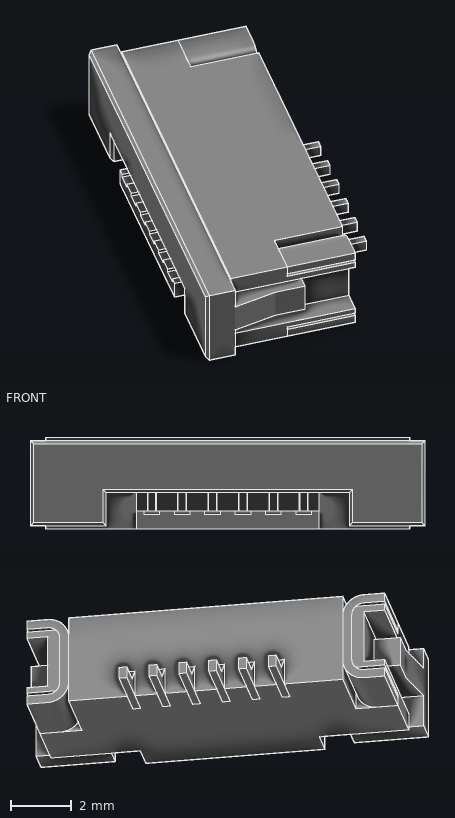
import cadquery as cq


housing_width = 12.0
housing_height = 3.02
housing_front = 1.0
housing_back = 5.3
mid_height = housing_height / 2

tongue_width = 6.0
floor_height = 0.6
cavity_height = 0.91
cavity_back = 4.29

channel_depth = 0.7
channel_bottom = 0.6
channel_height = 1.8

pin_count = 6
pin_pitch = 1.0
pin_width = 0.26
tail_end = 6.75
tail_height = 0.39
tail_bend = 5.8
groove_width = 0.52
groove_depth = 0.12
relief_width = 0.3
relief_depth = 0.26

slider_width = 13.0
slider_height = 2.81
slider_chamfer = 0.1
notch_width = 8.01
notch_top = 1.2
arm_bottom = 1.2
arm_height = 1.0
arm_bend = 2.5
arm_end = 3.51
arm_taper = 0.31

nail_start = 2.95
nail_thickness = 0.3
nail_outer_radius = 0.7
nail_reach = 1.4
nail_recess_depth = 0.4

pin_places = [(i - (pin_count - 1) / 2) * pin_pitch for i in range(pin_count)]
pin_top = floor_height + cavity_height
half_housing = housing_width / 2
half_slider = slider_width / 2


def box(x0, x1, y0, y1, z0, z1):
    """A block between two opposite corners."""
    return cq.Workplane("XY").box(x1 - x0, y1 - y0, z1 - z0, centered=False).translate((x0, y0, z0))


def centered_box(width, y0, y1, z0, z1):
    """A block centred on the YZ plane."""
    return box(-width / 2, width / 2, y0, y1, z0, z1)


def both_sides(left):
    """The left-hand shape and its mirror image on the right."""
    return [left, left.mirror("YZ")]


def make_pin(x):
    """A blade with a flat solder tail, rising at 45 degrees into the housing."""
    slope_end = tail_bend - (pin_top - tail_height)
    return (
        cq.Workplane("YZ")
        .polyline([
            (cavity_back, 0),
            (tail_end, 0),
            (tail_end, tail_height),
            (tail_bend, tail_height),
            (slope_end, pin_top),
            (cavity_back, pin_top),
        ])
        .close()
        .extrude(pin_width / 2, both=True)
        .translate((x, 0, 0))
    )


def make_left_nail():
    """A strip with flat flanges at top and bottom, joined by a web with two round bends."""
    outer_end = -half_housing
    web_inner = outer_end + nail_reach
    blank = (
        box(outer_end, web_inner, nail_start, housing_back, 0, housing_height)
        .edges("|Y and >X")
        .fillet(nail_outer_radius)
    )
    opening = (
        box(
            outer_end - nail_reach,
            web_inner - nail_thickness,
            nail_start,
            housing_back,
            nail_thickness,
            housing_height - nail_thickness,
        )
        .edges("|Y and >X")
        .fillet(nail_outer_radius - nail_thickness)
    )
    return blank.cut(opening)


def make_left_nail_recess():
    """Shallow recesses around the nail flanges and a slot through the housing for the web."""
    outer_end = -half_housing
    web_inner = outer_end + nail_reach
    web_outer = web_inner - nail_thickness
    recess_floor = housing_height - nail_recess_depth
    top = box(outer_end, web_inner, nail_start, housing_back, recess_floor, housing_height)
    bottom = box(outer_end, web_inner, nail_start, housing_back, 0, nail_recess_depth)
    slot = box(web_outer, web_inner, nail_start, housing_back, 0, housing_height)
    return top.union(bottom).union(slot).union(make_left_nail())


def make_left_channel():
    """The guide channel along the left side of the housing."""
    return box(
        -half_housing,
        -half_housing + channel_depth,
        housing_front,
        housing_back,
        channel_bottom,
        channel_bottom + channel_height,
    )


def make_housing(pins):
    """The block with its tongue, cable cavity, channels, nail recesses, grooves, reliefs and pin slots."""
    body = centered_box(housing_width, housing_front, housing_back, 0, housing_height)
    body = body.union(centered_box(tongue_width, 0, housing_front, 0, floor_height))
    body = body.cut(centered_box(tongue_width, housing_front, cavity_back, floor_height, pin_top))
    for cutter in both_sides(make_left_channel()) + both_sides(make_left_nail_recess()):
        body = body.cut(cutter)
    relief = centered_box(relief_width, cavity_back, cavity_back + relief_depth, floor_height, pin_top)
    groove = centered_box(groove_width, 0, housing_front, floor_height - groove_depth, floor_height)
    for x in pin_places:
        body = body.cut(groove.translate((x, 0, 0)))
        body = body.cut(relief.translate((x, 0, 0)))
    for pin in pins:
        body = body.cut(pin)
    return body


def make_left_arm():
    """An arm that fills the channel and tapers towards its free end."""
    inner = -half_housing + channel_depth
    tip = -half_slider + arm_taper
    return (
        cq.Workplane("XY", origin=(0, 0, arm_bottom))
        .polyline([
            (inner, housing_front),
            (-half_slider, housing_front),
            (tip, arm_bend),
            (tip, arm_end),
            (inner, arm_end),
        ])
        .close()
        .extrude(arm_height)
    )


def make_slider():
    """The front plate, notched for the cable and chamfered around its front, with its two arms."""
    bottom = mid_height - slider_height / 2
    plate = centered_box(slider_width, 0, housing_front, bottom, bottom + slider_height)
    plate = plate.cut(centered_box(notch_width, 0, housing_front, bottom, notch_top))
    plate = plate.faces("<Y").chamfer(slider_chamfer)
    for arm in both_sides(make_left_arm()):
        plate = plate.union(arm)
    return plate


pins = [make_pin(x) for x in pin_places]
nails = both_sides(make_left_nail())
housing = make_housing(pins)
slider = make_slider()

result = cq.Compound.makeCompound([body.val() for body in [housing, slider, *nails, *pins]])